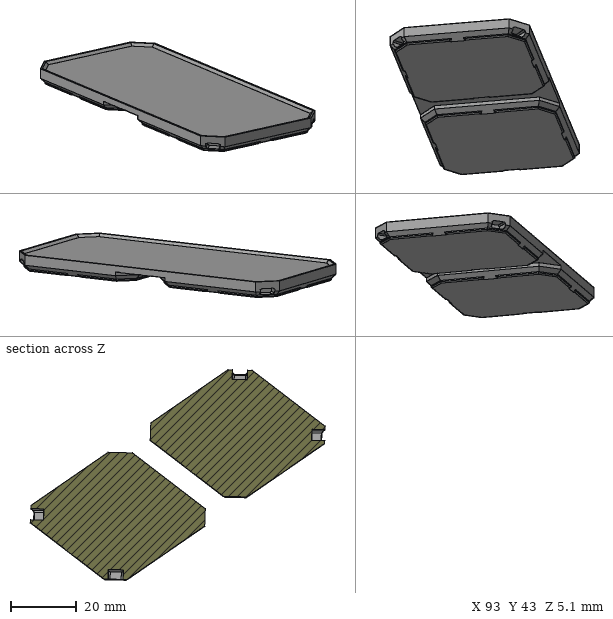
import cadquery as cq
import math

length = 93.0
width = 43.0
height = 5.1
corner_cut = 5.3
plate_bottom = 3.2

rim_width = 0.6
recess_depth = 0.8

foot_size = width
foot_x = (length - foot_size) / 2
taper_top = 2.0

ridge_inset = 1.3
ridge_band_bottom = 0.4
ridge_gap_top = 3.6
ridge_gap_bottom = 4.4

pocket_width = 4.5
pocket_bottom = 0.9
pocket_top = 3.0
pocket_depth = 4.1
pocket_bevel_run = 0.6
pocket_bevel_rise = 0.4

overshoot = 0.9


def octagon(size_x, size_y, inset, z):
    """Corner-cut rectangle at height z, with all eight sides moved in by inset."""
    half_x = size_x / 2 - inset
    half_y = size_y / 2 - inset
    cut = corner_cut - inset * (2 - math.sqrt(2))
    points = [
        (half_x, half_y - cut),
        (half_x - cut, half_y),
        (cut - half_x, half_y),
        (-half_x, half_y - cut),
        (-half_x, cut - half_y),
        (cut - half_x, -half_y),
        (half_x - cut, -half_y),
        (half_x, cut - half_y),
    ]
    return cq.Workplane("XY").workplane(offset=z).polyline(points).close().wire().val()


def octagon_loft(size_x, size_y, sections):
    """Straight-sided body through (inset, z) sections, stacked pair by pair."""
    body = cq.Workplane("XY")
    for (inset_a, z_a), (inset_b, z_b) in zip(sections, sections[1:]):
        lower = octagon(size_x, size_y, inset_a, z_a)
        upper = octagon(size_x, size_y, inset_b, z_b)
        body = body.union(cq.Workplane(obj=cq.Solid.makeLoft([lower, upper], True)))
    return body


def ridge_gap():
    """Wedge that takes the ridge off down to the plain taper, at the middle of the +X side."""
    outer_x = foot_size / 2

    def section(z, gap_length):
        floor_x = outer_x - (taper_top - z)
        flare = gap_length / 2 + outer_x - floor_x
        points = [
            (floor_x, -gap_length / 2),
            (floor_x, gap_length / 2),
            (outer_x, flare),
            (outer_x, -flare),
        ]
        return cq.Workplane("XY").workplane(offset=z).polyline(points).close().wire().val()

    bottom = section(0, ridge_gap_bottom)
    top = section(taper_top - ridge_inset, ridge_gap_top)
    return cq.Workplane(obj=cq.Solid.makeLoft([bottom, top], True))


def corner_pocket():
    """Blind pocket along X with bevelled long edges, its mouth just past the origin."""
    half_width = pocket_width / 2
    half_flat = half_width - pocket_bevel_run
    side_bottom = pocket_bottom + pocket_bevel_rise
    side_top = pocket_top - pocket_bevel_rise
    outline = [
        (-half_flat, pocket_bottom),
        (half_flat, pocket_bottom),
        (half_width, side_bottom),
        (half_width, side_top),
        (half_flat, pocket_top),
        (-half_flat, pocket_top),
        (-half_width, side_top),
        (-half_width, side_bottom),
    ]
    section = cq.Workplane("YZ").workplane(offset=-pocket_depth).polyline(outline).close()
    return section.extrude(pocket_depth + overshoot)


def make_foot():
    sections = [
        (ridge_inset + ridge_band_bottom, 0),
        (ridge_inset, ridge_band_bottom),
        (ridge_inset, taper_top - ridge_inset),
        (0, taper_top),
        (0, plate_bottom),
    ]
    foot = octagon_loft(foot_size, foot_size, sections)
    gap = ridge_gap()
    for angle in (0, 90, 180, 270):
        foot = foot.cut(gap.rotate((0, 0, 0), (0, 0, 1), angle))
    return foot


def make_plate():
    plate = octagon_loft(length, width, [(0, plate_bottom), (0, height)])
    recess = octagon_loft(
        length,
        width,
        [(rim_width + recess_depth, height - recess_depth), (rim_width, height)],
    )
    return plate.cut(recess)


foot = make_foot()
result = make_plate()
for side in (-1, 1):
    result = result.union(foot.translate((side * foot_x, 0, 0)))

pocket = corner_pocket()
corner_x = (length - corner_cut) / 2
corner_y = (width - corner_cut) / 2
for sign_x in (-1, 1):
    for sign_y in (-1, 1):
        angle = math.degrees(math.atan2(sign_y, sign_x))
        placed = pocket.rotate((0, 0, 0), (0, 0, 1), angle)
        result = result.cut(placed.translate((sign_x * corner_x, sign_y * corner_y, 0)))